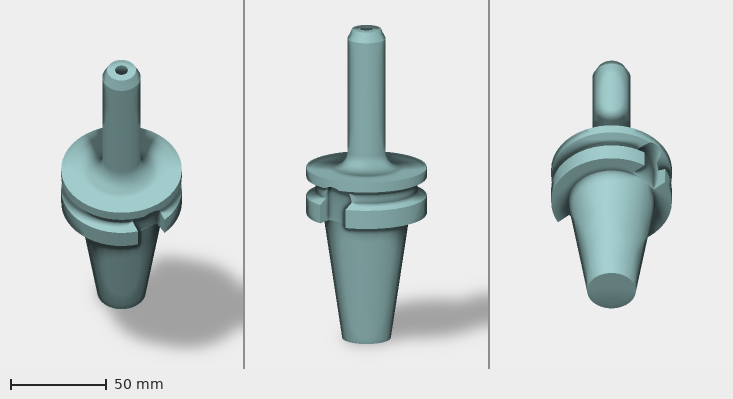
import cadquery as cq

total_height = 167.0
flange_bottom = 67.3
flange_top = 92.4

taper_small_radius = 12.7
gauge_radius = 22.4
neck_height = 1.7
neck_top_radius = 22.7

flange_radius = 63.0 / 2
groove_radius = 26.5
lower_rim_height = 9.9
upper_rim_height = 5.3
groove_flank_height = 2.5

arbor_radius = 10.0
arbor_fillet = 8.0
tip_radius = 7.5
tip_height = 5.2
tip_hole_diameter = 6.7
tip_hole_depth = 10.0

slot_width = 16.2
slot_floor_distance = 22.5
slot_top_margin = 4.0


def make_body():
    """Revolve the half outline of the holder around the Z axis."""
    gauge_height = flange_bottom - neck_height
    lower_rim_top = flange_bottom + lower_rim_height
    upper_rim_bottom = flange_top - upper_rim_height
    fillet_center_radius = arbor_radius + arbor_fillet
    fillet_top = flange_top + arbor_fillet
    diagonal = arbor_fillet * 0.5 ** 0.5
    fillet_middle = (fillet_center_radius - diagonal, fillet_top - diagonal)
    outline = (
        cq.Workplane("XZ")
        .lineTo(taper_small_radius, 0)
        .lineTo(gauge_radius, gauge_height)
        .lineTo(neck_top_radius, flange_bottom)
        .lineTo(flange_radius, flange_bottom)
        .lineTo(flange_radius, lower_rim_top)
        .lineTo(groove_radius, lower_rim_top + groove_flank_height)
        .lineTo(groove_radius, upper_rim_bottom - groove_flank_height)
        .lineTo(flange_radius, upper_rim_bottom)
        .lineTo(flange_radius, flange_top)
        .lineTo(fillet_center_radius, flange_top)
        .threePointArc(fillet_middle, (arbor_radius, fillet_top))
        .lineTo(arbor_radius, total_height - tip_height)
        .lineTo(tip_radius, total_height)
        .lineTo(0, total_height)
        .close()
    )
    return outline.revolve(360, (0, 0), (0, 1))


def make_drive_slot():
    """Cutter for the slot on the +X side, open at the rim and the flange bottom."""
    half_width = slot_width / 2
    arc_top = flange_top - slot_top_margin
    arc_start = arc_top - half_width
    return (
        cq.Workplane("YZ", origin=(slot_floor_distance, 0, 0))
        .moveTo(-half_width, flange_bottom)
        .lineTo(half_width, flange_bottom)
        .lineTo(half_width, arc_start)
        .threePointArc((0, arc_top), (-half_width, arc_start))
        .close()
        .extrude(flange_radius)
    )


body = make_body()
for angle in (0, 180):
    body = body.cut(make_drive_slot().rotate((0, 0, 0), (0, 0, 1), angle))

result = body.faces(">Z").workplane().hole(tip_hole_diameter, tip_hole_depth)